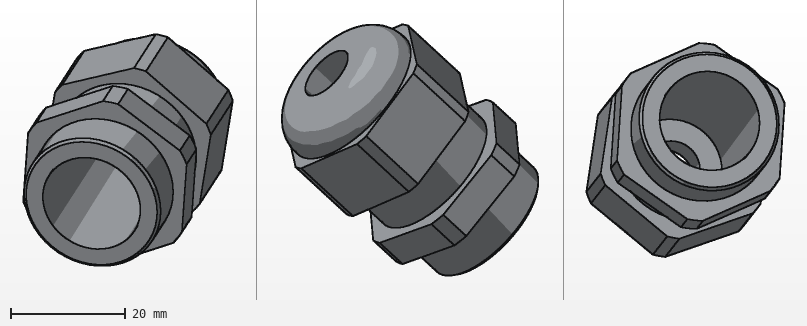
import cadquery as cq
import math


collar_start = 8.2
collar_end = 14.25
nut_start = 21.95
nut_end = 35.55
overall_length = 42.15

thread_diameter = 24.9
thread_chamfer = 0.5
neck_diameter = 25.2
dome_diameter = 27.7
dome_radius = 6.0
bore_diameter = 17.8
cable_hole_diameter = 10.0

corner_diameter = 32.0
collar_across_flats = 29.0
nut_across_flats = 28.75
hexagon_sides = 6
collar_turn = 3.7
nut_turn = 8.35


def cylinder(diameter, start, end):
    """Cylinder on the Y axis between two stations."""
    return cq.Workplane("XZ", origin=(0, start, 0)).circle(diameter / 2).extrude(start - end)


def rounded_hexagon(across_flats, turn, start, end):
    """Hexagonal prism on the Y axis with turned-down corners."""
    across_corners = across_flats / math.cos(math.pi / hexagon_sides)
    hexagon = (
        cq.Workplane("XZ", origin=(0, start, 0))
        .transformed(rotate=(0, 0, 90 - turn))
        .polygon(hexagon_sides, across_corners)
        .extrude(start - end)
    )
    return hexagon.intersect(cylinder(corner_diameter, start, end))


def threaded_end():
    """Plain shank in place of the thread, with a chamfered entry."""
    return cylinder(thread_diameter, 0, collar_start).faces("<Y").chamfer(thread_chamfer)


def domed_cap():
    """Cap whose outer rim is rounded over."""
    return cylinder(dome_diameter, nut_end, overall_length).faces(">Y").edges().fillet(dome_radius)


def build_gland():
    gland = threaded_end()
    gland = gland.union(rounded_hexagon(collar_across_flats, collar_turn, collar_start, collar_end))
    gland = gland.union(cylinder(neck_diameter, collar_end, nut_start))
    gland = gland.union(rounded_hexagon(nut_across_flats, nut_turn, nut_start, nut_end))
    gland = gland.union(domed_cap())

    gland = gland.cut(cylinder(bore_diameter, 0, nut_end))
    return gland.cut(cylinder(cable_hole_diameter, nut_end, overall_length))


result = build_gland()